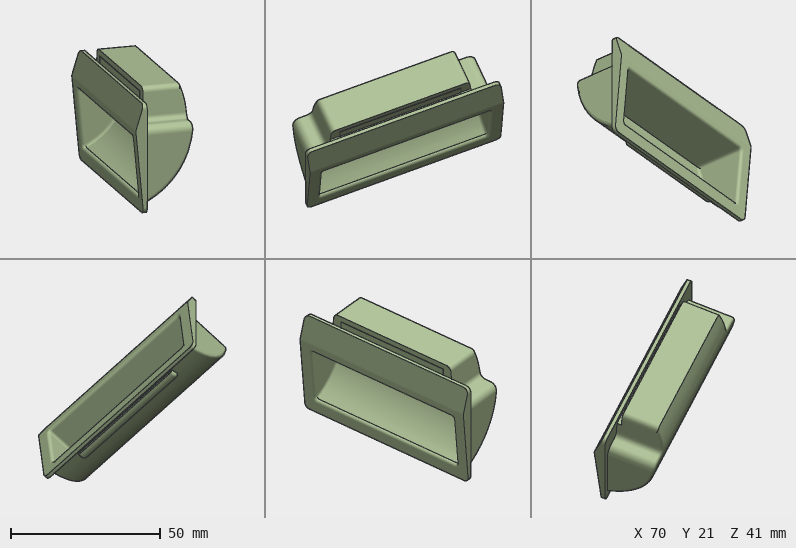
import cadquery as cq
import math


plate_width = 70.0
plate_height = 38.0
plate_edge_thickness = 1.3
plate_corner_radius = 2.0
ridge_height = 29.1
ridge_projection = 4.03
ridge_radius = 1.5

housing_top = 41.0
housing_bottom = 3.63
housing_depth = 17.0
back_radius = 29.0
back_center_z = 29.5
back_center_y = housing_depth - back_radius
lower_half_width = 33.0
shoulder_height = 29.5
shoulder_radius = 3.0
neck_half_width = 25.97
neck_draft = math.radians(5)
neck_radius = 2.0
back_edge_radius = 1.0
trim_allowance = 3.0

gap_depth = 1.65
gap_bottom = 36.0

snap_half_width = 21.9
pad_top = 39.0
pad_projection = 0.15
snap_embed = 1.0
bump_back_y = 4.9
bump_bottom_z = 2.5
bump_top_z = 6.0
bump_radius = 2.5
bump_end_radius = 0.9

pocket_half_width = 30.4
pocket_bottom = 5.1
pocket_top = 26.0
pocket_mid = (pocket_bottom + pocket_top) / 2
floor_thickness = 2.0
pocket_draft = math.radians(0.5)
floor_radius = back_radius - floor_thickness
pocket_inner_radius = 1.0
mouth_overrun = 2.0
pocket_rim_radius = 1.1


def back_y(z, radius):
    """Y of the cylindrical back surface of the given radius at height z."""
    return back_center_y + math.sqrt(radius**2 - (z - back_center_z) ** 2)


def side_extrusion(profile, half_width):
    """Extrude a profile drawn in the YZ plane symmetrically about X = 0."""
    return profile.extrude(half_width, both=True)


def make_plate():
    """Wedge-faced plate whose ridge runs across above the pocket."""
    profile = (
        cq.Workplane("YZ")
        .polyline(
            [
                (0, 0),
                (-plate_edge_thickness, 0),
                (-ridge_projection, ridge_height),
                (-plate_edge_thickness, plate_height),
                (0, plate_height),
            ]
        )
        .close()
    )
    plate = side_extrusion(profile, plate_width / 2)
    plate = plate.edges("|X and <Y").fillet(ridge_radius)
    return plate.edges("|Y").fillet(plate_corner_radius)


def neck_half_width_at(z):
    """Half width of the drafted neck at height z."""
    return neck_half_width - (z - shoulder_height) * math.tan(neck_draft)


def near(x, y, z):
    """Selector for the edge whose centre is nearest to a point."""
    return cq.selectors.NearestToPointSelector((x, y, z))


def make_block(neck_top):
    """Housing outline seen along Y, with its neck ending at neck_top."""
    half_outline = [
        (lower_half_width, housing_bottom),
        (lower_half_width, shoulder_height),
        (neck_half_width, shoulder_height),
        (neck_half_width_at(neck_top), neck_top),
    ]
    mirrored = [(-x, z) for x, z in reversed(half_outline)]
    block = cq.Workplane("XZ").polyline(half_outline + mirrored).close().extrude(-housing_depth)
    for side in (-1, 1):
        middle_y = housing_depth / 2
        block = block.edges(near(side * lower_half_width, middle_y, shoulder_height)).fillet(shoulder_radius)
        block = block.edges(near(side * neck_half_width, middle_y, shoulder_height)).fillet(neck_radius)
    return block


def make_housing():
    """Round-backed housing with a gap for the panel above its front edge."""
    tall_top = housing_top + trim_allowance
    side_profile = (
        cq.Workplane("YZ")
        .moveTo(0, housing_bottom)
        .lineTo(back_y(housing_bottom, back_radius), housing_bottom)
        .threePointArc((housing_depth, back_center_z), (back_y(tall_top, back_radius), tall_top))
        .lineTo(gap_depth, tall_top)
        .lineTo(gap_depth, gap_bottom)
        .lineTo(0, gap_bottom)
        .close()
    )
    housing = make_block(tall_top).intersect(side_extrusion(side_profile, lower_half_width))
    side_edge_z = (housing_bottom + shoulder_height) / 2
    side_edge_y = back_y(side_edge_z, back_radius)
    for side in (-1, 1):
        side_edge = near(side * lower_half_width, side_edge_y, side_edge_z)
        housing = housing.edges(side_edge).fillet(back_edge_radius)

    trimmed_block = make_block(housing_top)
    for side in (-1, 1):
        top_corner = near(side * neck_half_width_at(housing_top), housing_depth / 2, housing_top)
        trimmed_block = trimmed_block.edges(top_corner).fillet(neck_radius)
    return housing.intersect(trimmed_block)


def make_bar(half_width, front_y, rear_y, bottom_z, top_z):
    """Rectangular bar running along X, centred on X = 0."""
    depth = rear_y - front_y
    height = top_z - bottom_z
    bar = cq.Workplane("XY").box(2 * half_width, depth, height, centered=(True, False, False))
    return bar.translate((0, front_y, bottom_z))


def make_snap_pad():
    """Thin pad on the upper block, facing the back of the plate."""
    return make_bar(snap_half_width, gap_depth - pad_projection, gap_depth + snap_embed, gap_bottom, pad_top)


def make_snap_bump():
    """Rounded catch under the housing, opposite the pad."""
    bump = make_bar(snap_half_width, gap_depth, bump_back_y, bump_bottom_z, bump_top_z)
    bump = bump.edges("|X and >Y and <Z").fillet(bump_radius)
    for side in (-1, 1):
        bump = bump.edges(near(side * snap_half_width, bump_back_y, bump_bottom_z)).fillet(bump_end_radius)
    return bump


def make_pocket():
    """Volume of the finger pocket, widening slightly toward its mouth."""
    mouth_y = -ridge_projection - mouth_overrun
    floor_front_y = back_y(pocket_bottom, floor_radius)
    spread = math.tan(pocket_draft)
    profile = (
        cq.Workplane("YZ")
        .moveTo(mouth_y, pocket_bottom - (floor_front_y - mouth_y) * spread)
        .lineTo(floor_front_y, pocket_bottom)
        .threePointArc(
            (back_y(pocket_mid, floor_radius), pocket_mid),
            (back_y(pocket_top, floor_radius), pocket_top),
        )
        .lineTo(mouth_y, pocket_top)
        .close()
    )
    mouth_half_width = pocket_half_width - mouth_y * spread
    deep_half_width = pocket_half_width - housing_depth * spread
    drafted_sides = (
        cq.Workplane("XY")
        .polyline(
            [
                (-mouth_half_width, mouth_y),
                (mouth_half_width, mouth_y),
                (deep_half_width, housing_depth),
                (-deep_half_width, housing_depth),
            ]
        )
        .close()
        .extrude(housing_top)
    )
    pocket = side_extrusion(profile, mouth_half_width).intersect(drafted_sides)
    return pocket.faces("<X or >X").edges("not <Y").fillet(pocket_inner_radius)


handle = make_plate().union(make_housing()).union(make_snap_pad()).union(make_snap_bump())
handle = handle.cut(make_pocket())
lower_rim_edge = near(0, -plate_edge_thickness, pocket_bottom)
result = handle.edges(lower_rim_edge).fillet(pocket_rim_radius)